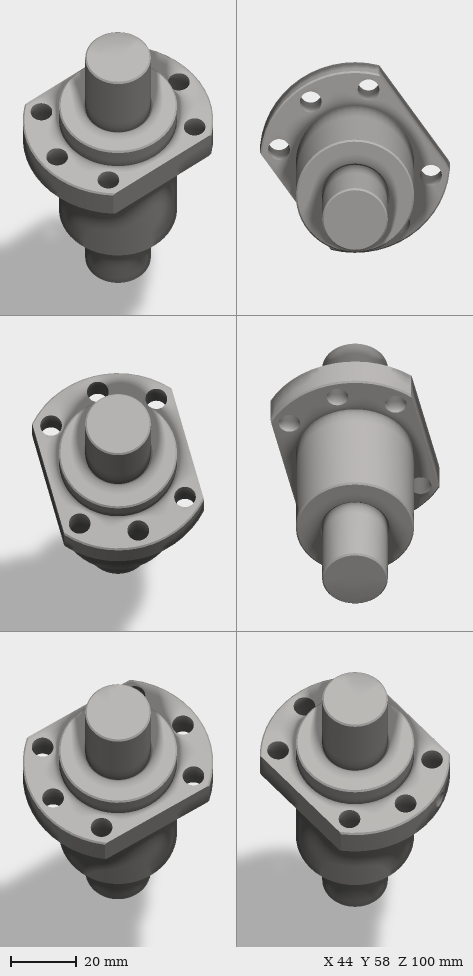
import cadquery as cq
import math

shaft_diameter = 20.0
shaft_length = 100.0

nut_diameter = 36.0
nut_length = 52.0
nut_bottom = (shaft_length - nut_length) / 2
nut_top = nut_bottom + nut_length

flange_diameter = 58.0
flange_width = 44.0
flange_thickness = 10.0
flange_setback = 7.0
flange_bottom = nut_top - flange_setback - flange_thickness

bolt_hole_diameter = 6.6
bolt_circle_diameter = 47.0
bolt_angles = (45, 90, 135, 225, 270, 315)
oil_hole_diameter = 4.9
oil_hole_angle = 112.5

edge_chamfer = 0.5


def chamfered_cylinder(diameter, length, bottom):
    """Vertical cylinder with both end edges chamfered."""
    cylinder = cq.Workplane("XY").workplane(offset=bottom).circle(diameter / 2).extrude(length)
    return cylinder.faces("<Z or >Z").edges().chamfer(edge_chamfer)


def make_flange():
    """Round flange, chamfered on its curved edges, then cut to the flat width."""
    disc = chamfered_cylinder(flange_diameter, flange_thickness, flange_bottom)
    flats = cq.Workplane("XY").workplane(offset=flange_bottom)
    flats = flats.rect(flange_width, flange_diameter).extrude(flange_thickness)
    return disc.intersect(flats)


def make_bolt_holes():
    """Through holes on the bolt circle, clear of the flats."""
    bolt_radius = bolt_circle_diameter / 2
    centres = []
    for angle in bolt_angles:
        turn = math.radians(angle)
        centres.append((bolt_radius * math.cos(turn), bolt_radius * math.sin(turn)))
    holes = cq.Workplane("XY").workplane(offset=flange_bottom).pushPoints(centres)
    return holes.circle(bolt_hole_diameter / 2).extrude(flange_thickness)


def make_oil_hole():
    """Radial hole at mid flange, from the rim in to the shaft axis."""
    mid_height = flange_bottom + flange_thickness / 2
    hole = cq.Workplane("YZ").center(0, mid_height).circle(oil_hole_diameter / 2)
    hole = hole.extrude(flange_diameter / 2)
    return hole.rotate((0, 0, 0), (0, 0, 1), oil_hole_angle)


def make_bore_mouths():
    """Conical recesses around the shaft at both ends of the nut."""
    shaft_radius = shaft_diameter / 2
    lower = cq.Workplane("XZ").polyline([
        (shaft_radius, nut_bottom),
        (shaft_radius + edge_chamfer, nut_bottom),
        (shaft_radius, nut_bottom + edge_chamfer),
    ]).close().revolve(360, (0, 0, 0), (0, 1, 0))
    upper = lower.mirror("XY", (0, 0, shaft_length / 2))
    return lower.union(upper)


nut = chamfered_cylinder(nut_diameter, nut_length, nut_bottom).union(make_flange())
nut = nut.cut(make_bolt_holes()).cut(make_oil_hole()).cut(make_bore_mouths())

shaft = chamfered_cylinder(shaft_diameter, shaft_length, 0)
result = nut.union(shaft)